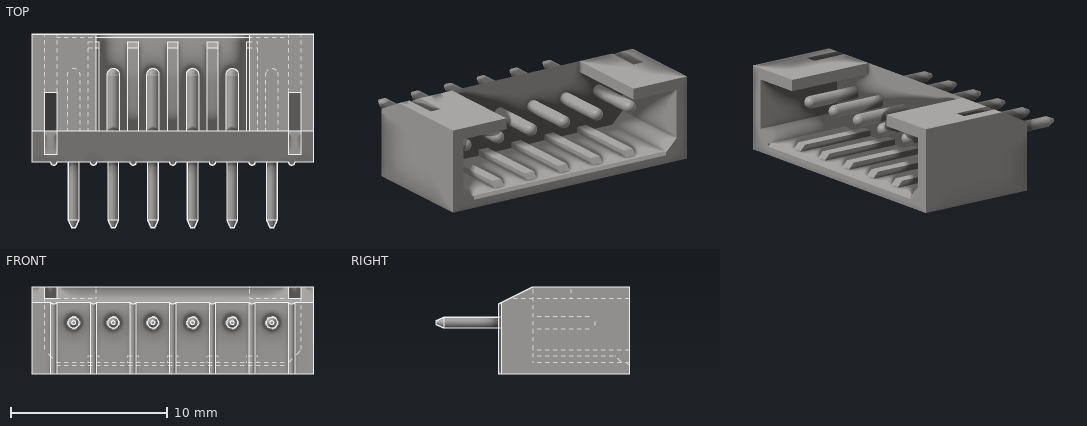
import cadquery as cq
import math

width = 18.06
depth = 8.2
height = 5.6
slope_run = 2.0
slope_drop = 1.0

wall = 0.8
roof_thickness = 0.75
floor_thickness = 0.75
back_wall = slope_run
corner_chamfer = 0.8
lead_in = 0.2
roof_opening_width = 9.84

slot_width = corner_chamfer
slot_front = 0.5
slot_rear = 4.45

pin_count = 6
pitch = 2.54
pin_height = 3.3
tail_diameter = 0.7
tail_tip_diameter = 0.25
tail_length = 4.2
tail_tip_length = 0.5
contact_diameter = 0.8
contact_end = 6.0

guide_count = pin_count - 1
guide_width = 0.7
guide_height = 0.4
guide_end = 7.7
face_rib_count = pin_count + 1
face_rib_radius = 0.2

cavity_half_width = width / 2 - wall
roof_underside = height - roof_thickness


def spaced_positions(count):
    """X positions of a centred row at the contact pitch."""
    return [(i - (count - 1) / 2) * pitch for i in range(count)]


def extrude_along_x(points, length, center_x=0):
    """Prism with a (Y, Z) outline, centred on center_x."""
    outline = cq.Workplane("YZ", origin=(center_x, 0, 0)).polyline(points).close()
    return outline.extrude(length / 2, both=True)


def make_block():
    """Housing block with half-round ribs, sloped along its upper pin-side edge."""
    block = cq.Workplane("XY").box(width, depth, height, centered=(True, False, False))
    rib_centers = [(x, 0) for x in spaced_positions(face_rib_count)]
    ribs = cq.Workplane("XY").pushPoints(rib_centers).circle(face_rib_radius).extrude(height)
    slope_overrun = face_rib_radius * 2
    overrun_drop = slope_drop * (1 + slope_overrun / slope_run)
    above_slope = extrude_along_x(
        [
            (slope_run, height),
            (-slope_overrun, height - overrun_drop),
            (-slope_overrun, height),
        ],
        width,
    )
    return block.union(ribs).cut(above_slope)


def make_cavity():
    """Cavity with 45 degree lower corners and a lead-in along the floor edge."""
    floor_half_width = cavity_half_width - corner_chamfer
    chamfer_top = floor_thickness + corner_chamfer
    cavity = (
        cq.Workplane("XZ", origin=(0, back_wall, 0))
        .moveTo(-floor_half_width, floor_thickness)
        .lineTo(floor_half_width, floor_thickness)
        .lineTo(cavity_half_width, chamfer_top)
        .lineTo(cavity_half_width, roof_underside)
        .lineTo(-cavity_half_width, roof_underside)
        .lineTo(-cavity_half_width, chamfer_top)
        .close()
        .extrude(back_wall - depth)
    )
    floor_lead_in = extrude_along_x(
        [
            (depth - lead_in, floor_thickness),
            (depth, floor_thickness - lead_in),
            (depth, floor_thickness),
        ],
        2 * floor_half_width,
    )
    return cavity.union(floor_lead_in)


def make_roof_opening():
    """Central opening through the roof, reaching the open side."""
    return cq.Workplane("XY", origin=(0, back_wall, roof_underside)).box(
        roof_opening_width, depth - back_wall, roof_thickness, centered=(True, False, False)
    )


def make_slot(side):
    """Roof slot flush with one cavity side wall; side is -1 or 1."""
    center_x = side * (cavity_half_width - slot_width / 2)
    return cq.Workplane("XY", origin=(center_x, slot_front, roof_underside)).box(
        slot_width, slot_rear - slot_front, roof_thickness, centered=(True, False, False)
    )


def make_guide(x):
    """Floor rib with a 45 degree ramp facing the open side."""
    guide_top = floor_thickness + guide_height
    return extrude_along_x(
        [
            (back_wall, floor_thickness),
            (guide_end, floor_thickness),
            (guide_end - guide_height, guide_top),
            (back_wall, guide_top),
        ],
        guide_width,
        x,
    )


def make_pin(x):
    """Turned contact: domed inside the cavity, with a tapered solder tail."""
    tail_radius = tail_diameter / 2
    contact_radius = contact_diameter / 2
    tip_start = tail_tip_length - tail_length
    dome_start = contact_end - contact_radius
    arc_offset = contact_radius * math.sqrt(0.5)
    return (
        cq.Workplane("XY", origin=(x, 0, pin_height))
        .moveTo(0, -tail_length)
        .lineTo(tail_tip_diameter / 2, -tail_length)
        .lineTo(tail_radius, tip_start)
        .lineTo(tail_radius, back_wall / 2)
        .lineTo(contact_radius, back_wall / 2)
        .lineTo(contact_radius, dome_start)
        .threePointArc((arc_offset, dome_start + arc_offset), (0, contact_end))
        .close()
        .revolve(360, (0, 0, 0), (0, 1, 0))
    )


housing = make_block().cut(make_cavity()).cut(make_roof_opening())
for side in (-1, 1):
    housing = housing.cut(make_slot(side))
for x in spaced_positions(guide_count):
    housing = housing.union(make_guide(x))
for x in spaced_positions(pin_count):
    housing = housing.union(make_pin(x))

result = housing